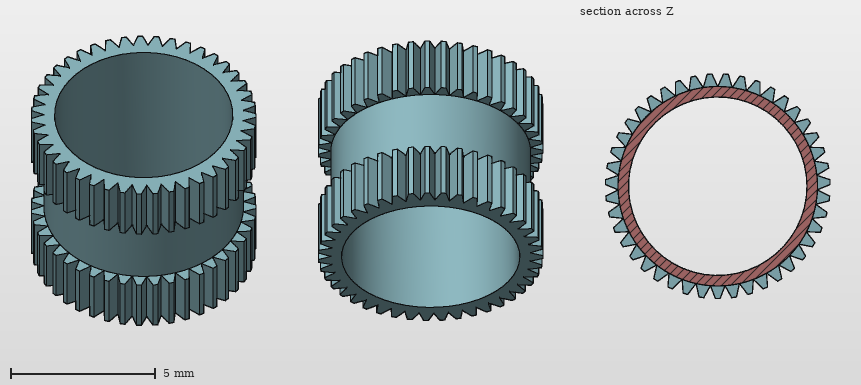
import cadquery as cq
import math

TOOTH_COUNT = 43
TIP_RADIUS = 3.88
ROOT_RADIUS = 3.445
TIP_WIDTH = 0.17
BORE_RADIUS = 3.075
TOTAL_HEIGHT = 6.37
RIM_HEIGHT = 1.95

FIRST_TOOTH_ANGLE = -90.0

TOOTH_PITCH = 360.0 / TOOTH_COUNT
HALF_TIP_ANGLE = math.degrees(math.asin(TIP_WIDTH / 2 / TIP_RADIUS))
UPPER_RIM_BASE = TOTAL_HEIGHT - RIM_HEIGHT


def polar_point(radius, angle):
    """Return the XY point at a radius and an angle in degrees."""
    return (
        radius * math.cos(math.radians(angle)),
        radius * math.sin(math.radians(angle)),
    )


def toothed_rim(base_height):
    """Ring of straight-flanked teeth meeting in sharp V-shaped roots."""
    half_pitch = TOOTH_PITCH / 2
    start = polar_point(ROOT_RADIUS, FIRST_TOOTH_ANGLE - half_pitch)
    outline = cq.Workplane("XY").workplane(offset=base_height).moveTo(*start)
    for tooth in range(TOOTH_COUNT):
        centre = FIRST_TOOTH_ANGLE + tooth * TOOTH_PITCH
        outline = outline.lineTo(*polar_point(TIP_RADIUS, centre - HALF_TIP_ANGLE))
        outline = outline.threePointArc(
            polar_point(TIP_RADIUS, centre),
            polar_point(TIP_RADIUS, centre + HALF_TIP_ANGLE),
        )
        if tooth < TOOTH_COUNT - 1:
            outline = outline.lineTo(*polar_point(ROOT_RADIUS, centre + half_pitch))
    return outline.close().extrude(RIM_HEIGHT)


def sleeve():
    """Plain cylinder that joins the two toothed rims."""
    return cq.Workplane("XY").circle(ROOT_RADIUS).extrude(TOTAL_HEIGHT)


def bore():
    """Through hole along the axis."""
    return cq.Workplane("XY").circle(BORE_RADIUS).extrude(TOTAL_HEIGHT)


result = sleeve().union(toothed_rim(0)).union(toothed_rim(UPPER_RIM_BASE)).cut(bore())